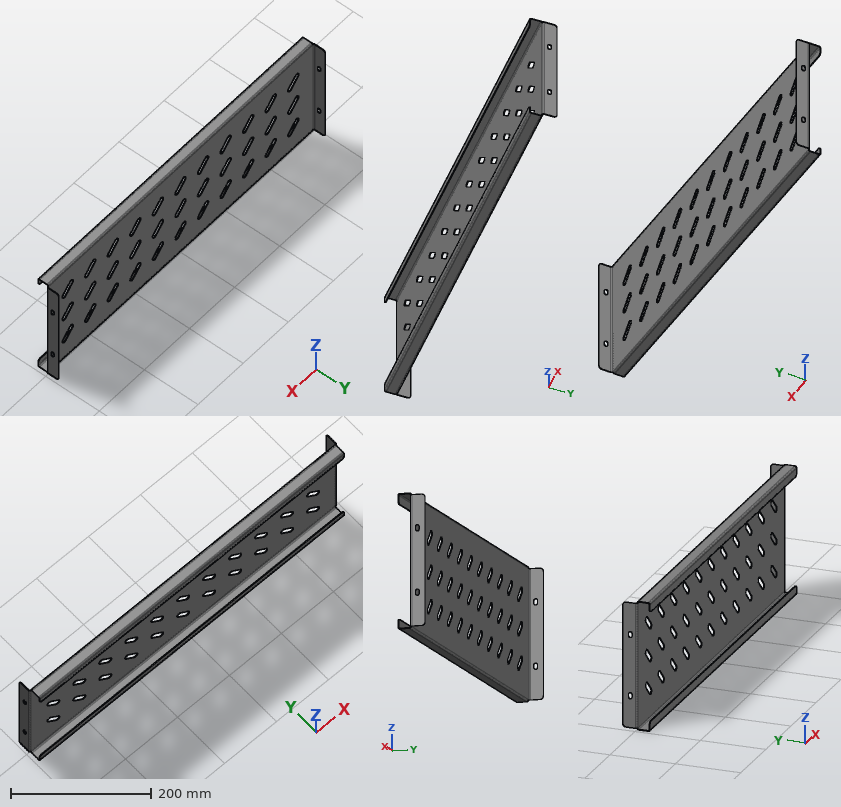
import cadquery as cq

overall_length = 592.0
overall_depth = 41.0
overall_height = 197.0

sheet = 1.5
inner_bend = 1.5
outer_bend = inner_bend + sheet

rail_depth = 20.0
rail_length = overall_length - 2 * outer_bend
lip_height = 15.0
lip_corner_radius = 5.0

flange_height = overall_height - 2 * outer_bend
flange_corner_radius = 5.0

slot_columns = 11
slot_rows = 3
slot_pitch = 50.0
slot_width = 8.5
slot_length = 30.5
slot_angle = -45.0

mount_slot_width = 5.5
mount_slot_length = 9.0
mount_slot_spacing = 93.5
mount_slot_to_back = 11.5
upright_angle = 90.0

front_y = -overall_depth / 2
back_y = overall_depth / 2
panel_back_y = front_y + rail_depth
panel_front_y = panel_back_y - sheet


def make_railed_panel():
    """C-section along X: the panel with its two rails and their lips."""
    profile = cq.Workplane("YZ").center(front_y + rail_depth / 2, 0)
    half_length = rail_length / 2
    outer = (
        profile.rect(rail_depth, overall_height)
        .extrude(half_length, both=True)
        .edges("|X")
        .fillet(outer_bend)
    )
    inner = (
        profile.rect(rail_depth - 2 * sheet, overall_height - 2 * sheet)
        .extrude(half_length, both=True)
        .edges("|X")
        .fillet(inner_bend)
    )
    mouth_height = overall_height - 2 * lip_height
    mouth = (
        cq.Workplane("XZ", origin=(0, front_y + sheet, 0))
        .rect(rail_length, mouth_height)
        .extrude(sheet)
    )
    lip_corners = cq.selectors.BoxSelector(
        (-rail_length, front_y - sheet, -mouth_height / 2 - sheet),
        (rail_length, front_y + 2 * sheet, mouth_height / 2 + sheet),
    )
    channel = outer.cut(inner).cut(mouth)
    return channel.edges("|Y").edges(lip_corners).fillet(lip_corner_radius)


def make_flanged_panel():
    """U-section along Z: the panel with its two end flanges."""
    flange_depth = back_y - panel_front_y
    profile = cq.Workplane("XY").center(0, panel_front_y + flange_depth / 2)
    half_height = flange_height / 2
    outer = (
        profile.rect(overall_length, flange_depth)
        .extrude(half_height, both=True)
        .edges("|Z and <Y")
        .fillet(outer_bend)
    )
    inner = (
        profile.center(0, sheet)
        .rect(overall_length - 2 * sheet, flange_depth)
        .extrude(half_height, both=True)
        .edges("|Z and <Y")
        .fillet(inner_bend)
    )
    return outer.cut(inner).edges("|X and >Y").fillet(flange_corner_radius)


def make_panel_slots():
    """Cutters for the grid of diagonal slots in the panel."""
    return (
        cq.Workplane("XZ", origin=(0, panel_back_y, 0))
        .rarray(slot_pitch, slot_pitch, slot_columns, slot_rows)
        .slot2D(slot_length, slot_width, slot_angle)
        .extrude(sheet)
    )


def make_mount_slots():
    """Cutters for the two mounting slots, running through both end flanges."""
    return (
        cq.Workplane("YZ", origin=(0, back_y - mount_slot_to_back, 0))
        .pushPoints([(0, -mount_slot_spacing / 2), (0, mount_slot_spacing / 2)])
        .slot2D(mount_slot_length, mount_slot_width, upright_angle)
        .extrude(overall_length / 2, both=True)
    )


shelf = make_railed_panel().union(make_flanged_panel())
result = shelf.cut(make_panel_slots()).cut(make_mount_slots())